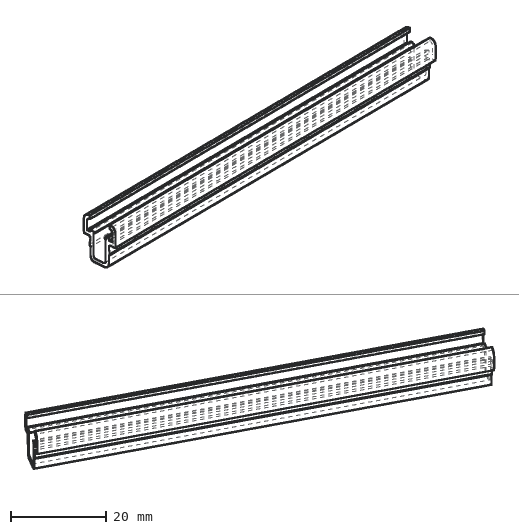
import cadquery as cq

length = 100.0
width = 9.0
height = 11.0
half_width = width / 2

side_wall = 0.9
lip_outer_radius = 1.4
lip_overhang = 0.3
flange_bottom = 6.0
flange_top = 7.1
side_chamfer_width = 0.1
side_chamfer_height = 0.6

ridge_outer_x = 2.7
ridge_peak_x = 2.5
ridge_peak_z = 7.8
ridge_tip_x = 1.4
ridge_tip_z = 7.3
ridge_underside_z = 6.9

slot_half_width = 1.7
slot_floor = 0.9
slot_fillet = 0.7
stem_half_width = 2.6
stem_fillet = 1.2
flange_fillet = 0.6

barb_x = 2.9
barb_crest_z = 3.8
barb_bottom_z = 3.3

stem_top_z = flange_bottom - flange_fillet
wall_inner_x = half_width - side_wall
lip_center_x = half_width - lip_outer_radius
lip_center_z = height - lip_outer_radius
lip_end_x = lip_center_x - lip_overhang
lip_inner_radius = wall_inner_x - lip_end_x
lip_underside_z = height - side_wall


def half_profile():
    """Right half of the section in the XZ plane, closed along the symmetry line."""
    return (
        cq.Workplane("XZ")
        .moveTo(0, 0)
        .lineTo(stem_half_width - stem_fillet, 0)
        .radiusArc((stem_half_width, stem_fillet), -stem_fillet)
        .lineTo(stem_half_width, barb_bottom_z)
        .lineTo(barb_x, barb_crest_z)
        .lineTo(stem_half_width, stem_top_z)
        .radiusArc((stem_half_width + flange_fillet, flange_bottom), flange_fillet)
        .lineTo(half_width - side_chamfer_width, flange_bottom)
        .lineTo(half_width, flange_bottom + side_chamfer_height)
        .lineTo(half_width, lip_center_z)
        .radiusArc((lip_center_x, height), -lip_outer_radius)
        .lineTo(lip_end_x, height)
        .lineTo(lip_end_x, lip_underside_z)
        .radiusArc((wall_inner_x, lip_underside_z - lip_inner_radius), lip_inner_radius)
        .lineTo(wall_inner_x, flange_top)
        .lineTo(ridge_outer_x, flange_top)
        .lineTo(ridge_peak_x, ridge_peak_z)
        .lineTo(ridge_tip_x, ridge_tip_z)
        .lineTo(slot_half_width, ridge_underside_z)
        .lineTo(slot_half_width, slot_floor + slot_fillet)
        .radiusArc((slot_half_width - slot_fillet, slot_floor), slot_fillet)
        .lineTo(0, slot_floor)
        .close()
    )


right_half = half_profile().extrude(length / 2, both=True)
result = right_half.union(right_half.mirror("YZ")).clean()